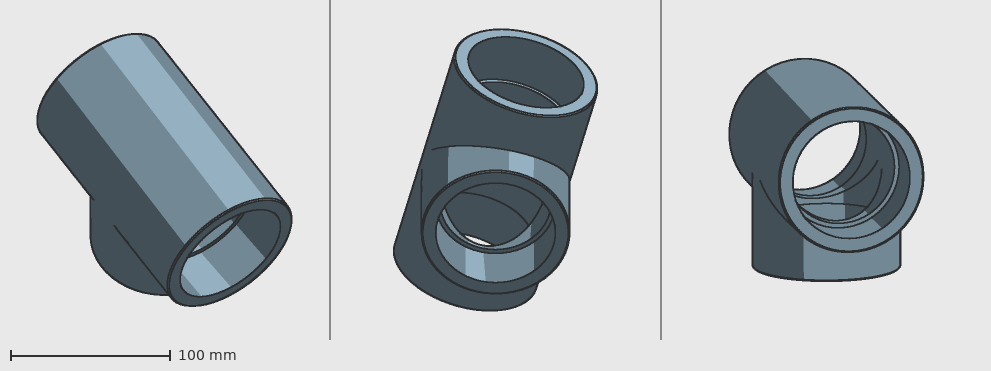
import cadquery as cq

run_length = 152.0
outer_diameter = 93.0
overall_height = 117.5
bore_diameter = 69.2
socket_diameter = 75.0
socket_depth = 33.0
rim_chamfer = 0.9

half_run = run_length / 2
branch_length = overall_height - outer_diameter / 2

ports = [
    (cq.Plane(origin=(0, 0, 0), xDir=(0, 1, 0), normal=(1, 0, 0)), half_run),
    (cq.Plane(origin=(0, 0, 0), xDir=(0, 1, 0), normal=(-1, 0, 0)), half_run),
    (cq.Plane(origin=(0, 0, 0), xDir=(1, 0, 0), normal=(0, 0, -1)), branch_length),
]


def cylinder(plane, diameter, start, end):
    """Round bar along the plane's normal, between two distances from the tee centre."""
    return cq.Workplane(plane).workplane(offset=start).circle(diameter / 2).extrude(end - start)


def outer_arm(plane, length):
    """Solid arm from the tee centre to a mouth with a chamfered rim."""
    arm = cylinder(plane, outer_diameter, 0, length)
    mouth_face = cq.selectors.DirectionMinMaxSelector(plane.zDir, True)
    return arm.faces(mouth_face).edges().chamfer(rim_chamfer)


def arm_cavity(plane, length):
    """Through bore with the wider pipe socket at the mouth."""
    bore = cylinder(plane, bore_diameter, 0, length)
    socket = cylinder(plane, socket_diameter, length - socket_depth, length)
    return bore.union(socket)


run_right, run_left, branch = ports
body = outer_arm(*run_right).union(outer_arm(*run_left)).union(outer_arm(*branch))
for port in ports:
    body = body.cut(arm_cavity(*port))

result = body.clean()